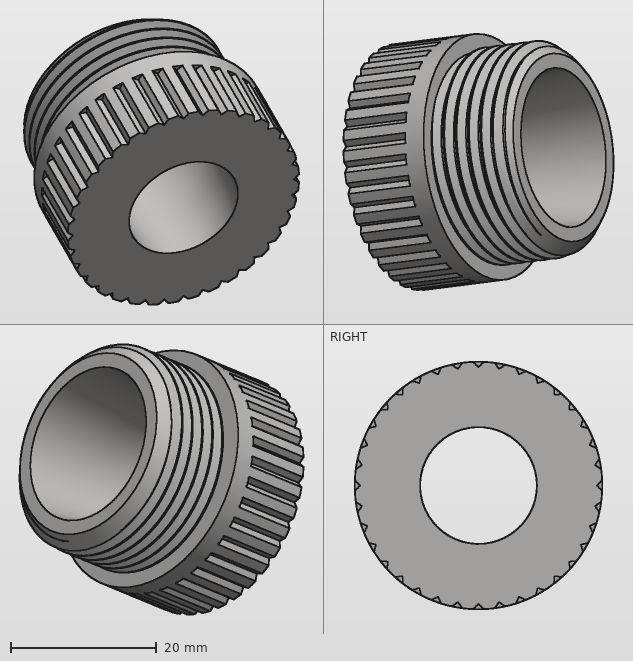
import cadquery as cq
import math

total_length = 25.0
collar_start = 12.0
collar_length = total_length - collar_start
collar_radius = 34.0 / 2

bore_mouth_radius = 22.0 / 2
bore_throat_radius = 16.0 / 2

crest_radius = 30.0 / 2
thread_pitch = 2.0
thread_depth = 1.227
root_radius = crest_radius - thread_depth
crest_width = thread_pitch / 8
flank_half_angle = 30.0
base_overlap = 0.1
lead_in = 2.0
envelope_clearance = 0.5
ridge_start = -1.25 * thread_pitch
core_overrun = thread_pitch
ridge_length = collar_start + 2 * thread_pitch

groove_count = 36
groove_start = 15.0
groove_pitch_angle = 360.0 / groove_count
groove_half_angle = groove_pitch_angle / 4
groove_half_width = collar_radius * math.sin(math.radians(groove_half_angle))
groove_edge_radius = collar_radius * math.cos(math.radians(groove_half_angle))
groove_bottom_radius = groove_edge_radius - groove_half_width
groove_clearance = 0.5


def cylinder_along_x(radius, start, length):
    return cq.Workplane("YZ", origin=(start, 0, 0)).circle(radius).extrude(length)


def make_thread_ridge():
    """Helical ridge that extends past both ends of the threaded stub."""
    base_radius = root_radius - base_overlap
    flank_width = (crest_radius - base_radius) * math.tan(math.radians(flank_half_angle))
    base_half_width = crest_width / 2 + flank_width
    helix = cq.Wire.makeHelix(thread_pitch, ridge_length, base_radius)
    ridge = (
        cq.Workplane("XZ")
        .polyline([
            (base_radius, -base_half_width),
            (crest_radius, -crest_width / 2),
            (crest_radius, crest_width / 2),
            (base_radius, base_half_width),
        ])
        .close()
        .sweep(cq.Workplane(helix), isFrenet=True)
    )
    return ridge.rotate((0, 0, 0), (0, 1, 0), 90).translate((ridge_start, 0, 0))


def make_stub_envelope():
    """Space the stub may fill: a lead-in cone followed by a cylinder clear of the crests."""
    limit_radius = crest_radius + envelope_clearance
    return (
        cq.Workplane("XY")
        .moveTo(0, 0)
        .lineTo(0, crest_radius - lead_in)
        .lineTo(lead_in + envelope_clearance, limit_radius)
        .lineTo(collar_start, limit_radius)
        .lineTo(collar_start, 0)
        .close()
        .revolve(360, (0, 0), (1, 0))
    )


def make_threaded_stub():
    """Threaded stub with a 45 degree lead-in chamfer at its free end."""
    core_start = ridge_start - core_overrun
    core_length = ridge_length + 2 * core_overrun
    core = cylinder_along_x(root_radius, core_start, core_length)
    return core.union(make_thread_ridge()).intersect(make_stub_envelope())


def make_bore():
    return (
        cq.Workplane("YZ")
        .circle(bore_mouth_radius)
        .workplane(offset=total_length)
        .circle(bore_throat_radius)
        .loft(ruled=True)
    )


def make_groove(angle):
    outer = groove_edge_radius + groove_clearance
    half_width = groove_half_width + groove_clearance
    return (
        cq.Workplane("YZ", origin=(groove_start, 0, 0))
        .polyline([(groove_bottom_radius, 0), (outer, half_width), (outer, -half_width)])
        .close()
        .extrude(total_length - groove_start)
        .rotate((0, 0, 0), (1, 0, 0), angle)
    )


collar = cylinder_along_x(collar_radius, collar_start, collar_length)
for index in range(groove_count):
    collar = collar.cut(make_groove(index * groove_pitch_angle))

adapter = collar.union(make_threaded_stub()).cut(make_bore())
result = cq.Workplane(adapter.solids().val())